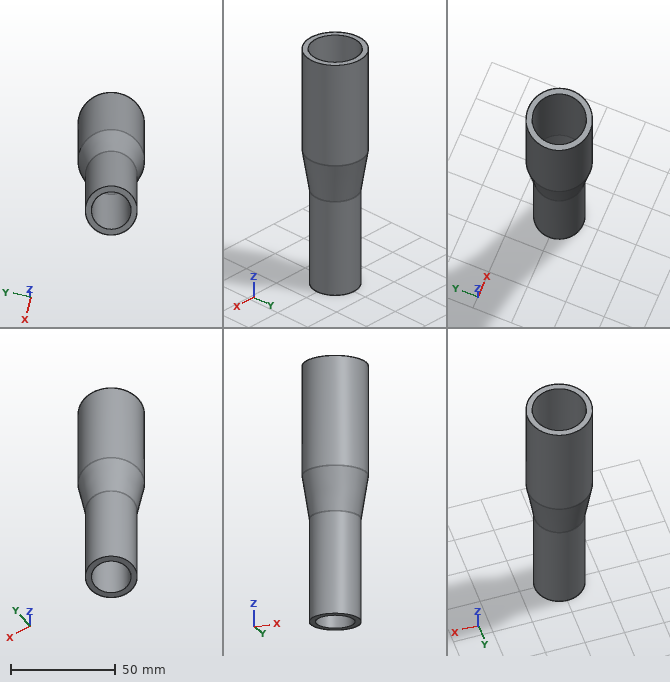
import cadquery as cq

length = 130.0
socket_outer_radius = 16.0
socket_bore_radius = 13.0
spigot_outer_radius = 12.5
spigot_bore_radius = 9.5

taper_bottom = 52.1
taper_top = 74.1

blend_radius = 2.0


def stepped_body(spigot_radius, socket_radius):
    """Solid of revolution: narrow cylinder, cone, wide cylinder."""
    profile = (
        cq.Workplane("XZ")
        .moveTo(0, 0)
        .lineTo(spigot_radius, 0)
        .lineTo(spigot_radius, taper_bottom)
        .lineTo(socket_radius, taper_top)
        .lineTo(socket_radius, length)
        .lineTo(0, length)
        .close()
    )
    return profile.revolve(360, (0, 0, 0), (0, 1, 0))


def blend_taper(body):
    """Round the two circular edges at the ends of the cone."""
    margin = 1.3
    taper_zone = cq.selectors.BoxSelector(
        (-length, -length, taper_bottom - margin),
        (length, length, taper_top + margin),
    )
    return body.edges("%CIRCLE").edges(taper_zone).fillet(blend_radius)


outside = blend_taper(stepped_body(spigot_outer_radius, socket_outer_radius))
bore = stepped_body(spigot_bore_radius, socket_bore_radius)

result = outside.cut(bore)